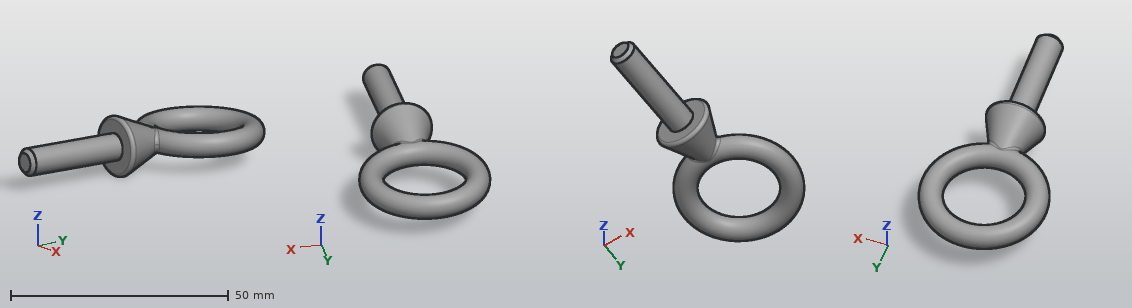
import cadquery as cq
import math

total_length = 64.3
ring_outer_diameter = 30.15
ring_wire_diameter = 5.6

shank_diameter = 6.4
shank_length = 25.4
tip_chamfer_length = 1.0
tip_chamfer_depth = 0.95

collar_diameter = 14.3
collar_edge_radius = 0.8
collar_half_angle = math.radians(22.5)
collar_ring_fillet = 0.8

ring_radius = (ring_outer_diameter - ring_wire_diameter) / 2
ring_center_y = total_length - shank_length - ring_outer_diameter / 2
collar_height = ring_center_y - ring_radius


def make_ring():
    """Round wire swept about Z."""
    return (
        cq.Workplane("XZ", origin=(0, ring_center_y, 0))
        .center(ring_radius, 0)
        .circle(ring_wire_diameter / 2)
        .revolve(360, (-ring_radius, 0), (-ring_radius, 1))
    )


def make_collar():
    """Cone whose seat edge is rounded by an arc tangent to the seat and to the cone."""
    arc_center_x = collar_diameter / 2 - collar_edge_radius

    def arc_point(angle):
        return (
            arc_center_x + collar_edge_radius * math.cos(angle),
            collar_edge_radius + collar_edge_radius * math.sin(angle),
        )

    cone_start_x, cone_start_y = arc_point(collar_half_angle)
    cone_end_x = cone_start_x - (collar_height - cone_start_y) * math.tan(collar_half_angle)
    profile = (
        cq.Workplane("XY")
        .lineTo(arc_center_x, 0)
        .threePointArc(arc_point(0), (cone_start_x, cone_start_y))
        .lineTo(cone_end_x, collar_height)
        .lineTo(0, collar_height)
        .close()
    )
    return profile.revolve(360, (0, 0), (0, 1))


def make_shank():
    """Cylinder pointing to -Y with a chamfered tip."""
    radius = shank_diameter / 2
    profile = (
        cq.Workplane("XY")
        .lineTo(radius, 0)
        .lineTo(radius, tip_chamfer_length - shank_length)
        .lineTo(radius - tip_chamfer_depth, -shank_length)
        .lineTo(0, -shank_length)
        .close()
    )
    return profile.revolve(360, (0, 0), (0, 1))


def fillet_ring_joint(body):
    """Round the curved seam where the cone runs into the ring wire."""
    return body.edges("%BSPLINE").fillet(collar_ring_fillet)


ring_and_collar = make_ring().union(make_collar())
result = fillet_ring_joint(ring_and_collar).union(make_shank())